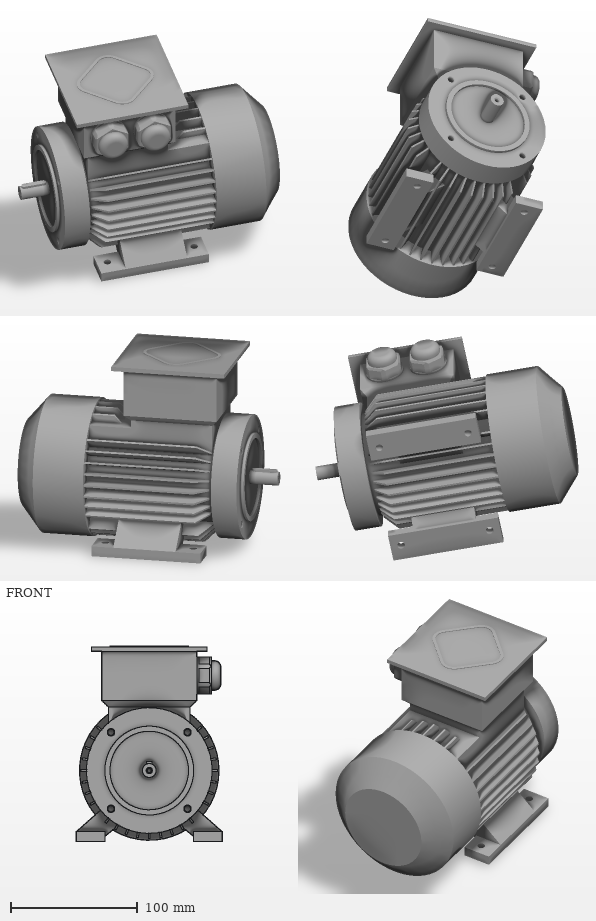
import cadquery as cq
import math


TOTAL_LENGTH = 203.0
OVERLAP = 2.0

SHAFT_DIA = 11.0
CENTRE_HOLE_DIA = 3.2
CENTRE_HOLE_RIM_DIA = 4.9
CENTRE_HOLE_DEPTH = 6.0
KEY_WIDTH = 4.0
KEY_LENGTH = 20.0
KEY_TOP = 7.1
KEY_START = 1.2

REGISTER_FRONT = 20.5
FLANGE_FRONT = 23.0
FLANGE_BACK = 43.6
FLANGE_DIA = 99.0
REGISTER_DIA = 70.0
RECESS_DIA = 62.0
RECESS_DEPTH = 2.5
FLANGE_HOLE_SPACING = 60.3
FLANGE_HOLE_DIA = 4.9
FLANGE_HOLE_RIM_DIA = 5.9
FLANGE_HOLE_DEPTH = 12.2

BODY_FRONT = 46.5
BODY_DIA = 82.0
FIN_TIP_RADIUS = 53.5
FIN_THICKNESS = 1.5
FIN_STEP_ANGLE = 10
SIDE_FIN_ANGLES = (-30, 40)
BOTTOM_FIN_ANGLES = (-130, -50)
FIN_BEVEL = 10.8
TOP_FIN_FRONT = 122.0
TOP_FIN_BEVEL = 6.0
TOP_FIN_PITCH = 10.2
TOP_FIN_COUNT = 5

COWL_FRONT = 145.8
COWL_CONE_START = 186.4
COWL_DIA = 110.0
COWL_END_DIA = 71.0

BOX_CENTRE_Y = 79.4
PEDESTAL_WIDTH = 64.5
SHELF_TOP = 43.6
BEVEL_BOTTOM = 50.1
BOX_WIDTH = 75.1
BOX_BOTTOM = 55.2
LID_WIDTH = 91.4
LID_BOTTOM = 94.0
LID_TOP = 97.5

FRAME_CENTRE_Y = 78.2
FRAME_WIDTH = 50.5
FRAME_CORNER_RADIUS = 11.2
FRAME_BAND = 2.5
FRAME_HEIGHT = 0.6

GLAND_Z = 75.0
GLAND_SPACING = 34.7
GLAND_DIA = 29.5
GLAND_COLLAR_LENGTH = 1.6
GLAND_NUT_APOTHEM = 13.5
GLAND_NUT_LENGTH = 8.1
GLAND_NUT_BEVEL = 1.8
GLAND_NUT_BEVEL_ANGLE = 27
GLAND_HEAD_DIA = 23.3
GLAND_HEAD_LENGTH = 7.3
GLAND_HEAD_ROUND = 5.0

FEET_WIDTH = 115.0
FOOT_BOTTOM = -56.0
PAD_WIDTH = 22.7
PAD_THICKNESS = 8.1
PAD_LENGTH = 88.1
PAD_CENTRE_Y = 94.4
LEG_LENGTH = 50.3
LEG_CENTRE_Y = 95.6
LEG_OUTER_LOW_X = 57.2
LEG_TOP_OUTER = (29.5, -23.3)
LEG_TOP_INNER = (17.3, -37.5)
LEG_INNER_LOW_Z = -51.8
FOOT_HOLE_DIA = 5.9
FOOT_HOLE_SPACING_X = 90.1
FOOT_HOLE_SPACING_Y = 71.0


def cylinder_y(diameter, start, end):
    """Cylinder on the shaft axis between two Y positions."""
    return cq.Workplane("XZ", origin=(0, start, 0)).circle(diameter / 2).extrude(start - end)


def block(width, length, centre_y, bottom, top):
    """Box centred on x = 0 with the given centre in Y and range in Z."""
    return (
        cq.Workplane("XY", origin=(0, centre_y, bottom))
        .rect(width, length)
        .extrude(top - bottom)
    )


def drilled_hole(x, z, face_y, diameter, rim_diameter, depth):
    """Cutter for a blind hole along +Y with a 45 degree rim chamfer and a conical end."""
    radius = diameter / 2
    rim_radius = rim_diameter / 2
    profile = [
        (0, 0),
        (rim_radius, 0),
        (radius, rim_radius - radius),
        (radius, depth),
        (0, depth + radius / 2),
    ]
    cutter = cq.Workplane("XY").polyline(profile).close().revolve(360, (0, 0, 0), (0, 1, 0))
    return cutter.translate((x, face_y, z))


def make_shaft():
    shaft = cylinder_y(SHAFT_DIA, 0, FLANGE_FRONT + OVERLAP)
    key = (
        cq.Workplane("XY", origin=(0, KEY_START + KEY_LENGTH / 2, 0))
        .slot2D(KEY_LENGTH, KEY_WIDTH, 90)
        .extrude(KEY_TOP)
    )
    centre_hole = drilled_hole(0, 0, 0, CENTRE_HOLE_DIA, CENTRE_HOLE_RIM_DIA, CENTRE_HOLE_DEPTH)
    return shaft.union(key).cut(centre_hole)


def make_flange():
    flange = cylinder_y(FLANGE_DIA, FLANGE_FRONT, FLANGE_BACK)
    flange = flange.union(cylinder_y(REGISTER_DIA, REGISTER_FRONT, FLANGE_FRONT + OVERLAP))
    flange = flange.cut(cylinder_y(RECESS_DIA, REGISTER_FRONT, REGISTER_FRONT + RECESS_DEPTH))
    offset = FLANGE_HOLE_SPACING / 2
    for x in (-offset, offset):
        for z in (-offset, offset):
            hole = drilled_hole(
                x, z, FLANGE_FRONT, FLANGE_HOLE_DIA, FLANGE_HOLE_RIM_DIA, FLANGE_HOLE_DEPTH
            )
            flange = flange.cut(hole)
    return flange


def radial_fin(angle):
    """Fin along the body at an angle from +X towards +Z, bevelled at the drive end."""
    root = BODY_DIA / 2 - OVERLAP
    profile = [
        (root, BODY_FRONT),
        (FIN_TIP_RADIUS - FIN_BEVEL, BODY_FRONT),
        (FIN_TIP_RADIUS, BODY_FRONT + FIN_BEVEL),
        (FIN_TIP_RADIUS, COWL_FRONT + OVERLAP),
        (root, COWL_FRONT + OVERLAP),
    ]
    fin = cq.Workplane("XY").polyline(profile).close().extrude(FIN_THICKNESS / 2, both=True)
    return fin.rotate((0, 0, 0), (0, 1, 0), -angle)


def make_top_fins():
    """Upright parallel fins behind the terminal box, cut to a cylinder with a bevelled front."""
    root = SHELF_TOP - OVERLAP
    fins_back = COWL_FRONT + OVERLAP
    fins_length = fins_back - TOP_FIN_FRONT
    middle = (TOP_FIN_COUNT - 1) / 2
    fins = cq.Workplane("XY")
    for index in range(TOP_FIN_COUNT):
        fin = block(FIN_THICKNESS, fins_length, TOP_FIN_FRONT + fins_length / 2, root, FIN_TIP_RADIUS)
        fins = fins.union(fin.translate(((index - middle) * TOP_FIN_PITCH, 0, 0)))
    envelope = cylinder_y(2 * FIN_TIP_RADIUS, TOP_FIN_FRONT, fins_back)
    return fins.intersect(envelope.faces("<Y").chamfer(TOP_FIN_BEVEL))


def make_body():
    body = cylinder_y(BODY_DIA, FLANGE_BACK - OVERLAP, COWL_FRONT + OVERLAP)
    first_side, last_side = SIDE_FIN_ANGLES
    for angle in range(first_side, last_side + 1, FIN_STEP_ANGLE):
        body = body.union(radial_fin(angle)).union(radial_fin(180 - angle))
    first_bottom, last_bottom = BOTTOM_FIN_ANGLES
    for angle in range(first_bottom, last_bottom + 1, FIN_STEP_ANGLE):
        body = body.union(radial_fin(angle))
    shelf_length = COWL_FRONT + OVERLAP - BODY_FRONT
    shelf = block(PEDESTAL_WIDTH, shelf_length, BODY_FRONT + shelf_length / 2, 0, SHELF_TOP)
    return body.union(shelf).union(make_top_fins())


def make_cowl():
    profile = [
        (0, COWL_FRONT),
        (COWL_DIA / 2, COWL_FRONT),
        (COWL_DIA / 2, COWL_CONE_START),
        (COWL_END_DIA / 2, TOTAL_LENGTH),
        (0, TOTAL_LENGTH),
    ]
    return cq.Workplane("XY").polyline(profile).close().revolve(360, (0, 0, 0), (0, 1, 0))


def make_terminal_box():
    pedestal_length = 2 * (BOX_CENTRE_Y - BODY_FRONT)
    pedestal = block(PEDESTAL_WIDTH, pedestal_length, BOX_CENTRE_Y, 0, BEVEL_BOTTOM)
    bevel = (
        cq.Workplane("XY", origin=(0, BOX_CENTRE_Y, BEVEL_BOTTOM))
        .rect(PEDESTAL_WIDTH, pedestal_length)
        .workplane(offset=BOX_BOTTOM - BEVEL_BOTTOM)
        .rect(BOX_WIDTH, BOX_WIDTH)
        .loft(ruled=True)
    )
    box = block(BOX_WIDTH, BOX_WIDTH, BOX_CENTRE_Y, BOX_BOTTOM, LID_BOTTOM)
    lid = block(LID_WIDTH, LID_WIDTH, BOX_CENTRE_Y, LID_BOTTOM, LID_TOP)
    return pedestal.union(bevel).union(box).union(lid).union(make_lid_frame())


def rounded_plate(width, corner_radius):
    """Square plate of the frame's height with rounded upright edges."""
    return cq.Workplane("XY").rect(width, width).extrude(FRAME_HEIGHT).edges("|Z").fillet(corner_radius)


def make_lid_frame():
    outer = rounded_plate(FRAME_WIDTH, FRAME_CORNER_RADIUS)
    inner = rounded_plate(FRAME_WIDTH - 2 * FRAME_BAND, FRAME_CORNER_RADIUS - FRAME_BAND)
    frame = outer.cut(inner).rotate((0, 0, 0), (0, 0, 1), 45)
    return frame.translate((0, FRAME_CENTRE_Y, LID_TOP))


def make_gland(y):
    """Cable gland on the +X wall: collar, hexagon with turned-down corners, domed head."""
    base = cq.Workplane("YZ", origin=(BOX_WIDTH / 2, y, GLAND_Z))
    nut_end = GLAND_COLLAR_LENGTH + GLAND_NUT_LENGTH + GLAND_NUT_BEVEL
    collar = base.circle(GLAND_DIA / 2).extrude(GLAND_COLLAR_LENGTH)
    corner_dia = 2 * GLAND_NUT_APOTHEM / math.cos(math.radians(30))
    flats = base.workplane(offset=GLAND_COLLAR_LENGTH).transformed(rotate=(0, 0, 90))
    nut = flats.polygon(6, corner_dia).extrude(GLAND_NUT_LENGTH)
    nut_bevel = (
        flats.workplane(offset=GLAND_NUT_LENGTH)
        .polygon(6, corner_dia)
        .extrude(GLAND_NUT_BEVEL, taper=GLAND_NUT_BEVEL_ANGLE)
    )
    nut = nut.union(nut_bevel).intersect(base.circle(GLAND_DIA / 2).extrude(nut_end))
    head = (
        base.workplane(offset=nut_end)
        .circle(GLAND_HEAD_DIA / 2)
        .extrude(GLAND_HEAD_LENGTH)
        .faces(">X")
        .edges()
        .fillet(GLAND_HEAD_ROUND)
    )
    return collar.union(nut).union(head)


def make_right_foot():
    """Foot on the +X side: a flat pad with two holes and a sloping leg up to the body."""
    outer_x = FEET_WIDTH / 2
    inner_x = outer_x - PAD_WIDTH
    pad_top = FOOT_BOTTOM + PAD_THICKNESS
    pad = block(PAD_WIDTH, PAD_LENGTH, PAD_CENTRE_Y, FOOT_BOTTOM, pad_top)
    pad = pad.translate(((inner_x + outer_x) / 2, 0, 0))
    leg_profile = [
        (LEG_OUTER_LOW_X, pad_top),
        LEG_TOP_OUTER,
        LEG_TOP_INNER,
        (inner_x, LEG_INNER_LOW_Z),
        (inner_x, pad_top),
    ]
    leg = (
        cq.Workplane("XZ", origin=(0, LEG_CENTRE_Y, 0))
        .polyline(leg_profile)
        .close()
        .extrude(LEG_LENGTH / 2, both=True)
    )
    holes = (
        cq.Workplane("XY", origin=(FOOT_HOLE_SPACING_X / 2, PAD_CENTRE_Y, FOOT_BOTTOM))
        .rarray(2, FOOT_HOLE_SPACING_Y, 1, 2)
        .circle(FOOT_HOLE_DIA / 2)
        .extrude(PAD_THICKNESS)
    )
    return pad.union(leg).cut(holes)


motor = make_flange().union(make_shaft()).union(make_body()).union(make_cowl())
motor = motor.union(make_terminal_box())
for side in (-1, 1):
    motor = motor.union(make_gland(BOX_CENTRE_Y + side * GLAND_SPACING / 2))
right_foot = make_right_foot()
result = motor.union(right_foot).union(right_foot.mirror("YZ"))